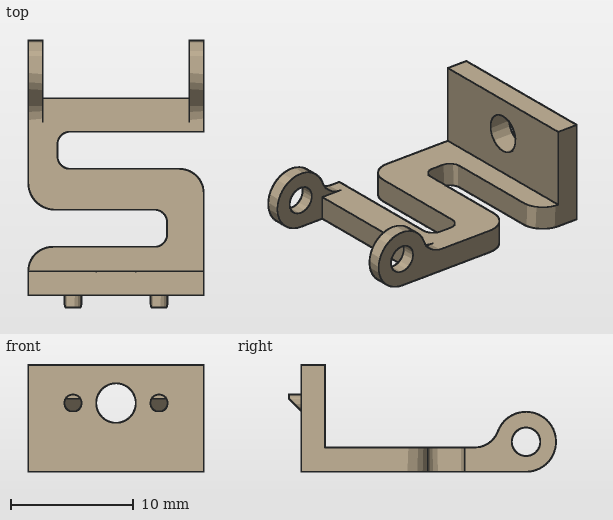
import cadquery as cq
import math

width = 14.3
half_width = width / 2

plate_thickness = 1.95
plate_height = 8.7
screw_hole_diameter = 3.2
screw_hole_height = 5.6

pin_diameter = 1.4
pin_length = 1.0
pin_spacing = 7.0
pin_tip_thickness = 0.35
pin_slope_drop = 1.0

spring_thickness = 2.0
front_bar_width = 2.0
middle_bar_width = 3.35
rear_bar_width = 2.75
slot_width = 3.0
left_web_width = 2.4
right_web_width = 3.0
slot_corner_radius = 1.0
bend_radius = 2.0
left_middle_bend_radius = 2.2

lug_thickness = 1.2
lug_radius = 2.45
lug_hole_diameter = 2.3
lug_overall_reach = 20.75
lug_blend_radius = 2.0

front_slot_start = plate_thickness + front_bar_width
front_slot_end = front_slot_start + slot_width
rear_slot_start = front_slot_end + middle_bar_width
rear_slot_end = rear_slot_start + slot_width
spring_end = rear_slot_end + rear_bar_width
lug_center_y = lug_overall_reach - lug_radius


def make_plate():
    """Upright plate with its central screw hole."""
    plate = cq.Workplane("XY").box(width, plate_thickness, plate_height, centered=(True, False, False))
    hole = (
        cq.Workplane("XZ")
        .center(0, screw_hole_height)
        .circle(screw_hole_diameter / 2)
        .extrude(-plate_thickness)
    )
    return plate.cut(hole)


def make_spring():
    """Flat S-shaped spring with rounded bends and slot ends."""
    left_slot_end = -half_width + left_web_width
    right_slot_end = half_width - right_web_width
    outline = [
        (-half_width, 0),
        (-half_width, front_slot_start),
        (right_slot_end, front_slot_start),
        (right_slot_end, front_slot_end),
        (-half_width, front_slot_end),
        (-half_width, spring_end),
        (half_width, spring_end),
        (half_width, rear_slot_end),
        (left_slot_end, rear_slot_end),
        (left_slot_end, rear_slot_start),
        (half_width, rear_slot_start),
        (half_width, 0),
    ]
    slot_corners = [
        (right_slot_end, front_slot_start),
        (right_slot_end, front_slot_end),
        (left_slot_end, rear_slot_start),
        (left_slot_end, rear_slot_end),
    ]
    bends = [
        (-half_width, front_slot_start),
        (half_width, rear_slot_start),
    ]
    left_middle_bend = [(-half_width, front_slot_end)]
    spring = cq.Workplane("XY").polyline(outline).close().extrude(spring_thickness)
    spring = round_corners(spring, slot_corners, slot_corner_radius)
    spring = round_corners(spring, bends, bend_radius)
    return round_corners(spring, left_middle_bend, left_middle_bend_radius)


def round_corners(body, corners, radius):
    """Fillet the vertical edges of the spring that stand at the given XY corners."""
    edges = cq.Workplane("XY")
    for x, y in corners:
        nearest = cq.selectors.NearestToPointSelector((x, y, spring_thickness / 2))
        edges = edges.add(body.edges("|Z").edges(nearest).vals())
    solid = body.val().fillet(radius, edges.vals())
    return cq.Workplane("XY").newObject([solid])


def make_lug(x_start):
    """Hinge eye whose round top runs through a concave blend onto the spring."""
    blend_center_z = spring_thickness + lug_blend_radius
    center_distance = lug_radius + lug_blend_radius
    rise = blend_center_z - lug_radius
    blend_end_y = lug_center_y - math.sqrt(center_distance**2 - rise**2)
    contact_angle = math.asin(rise / center_distance)
    contact = (
        lug_center_y - lug_radius * math.cos(contact_angle),
        lug_radius + lug_radius * math.sin(contact_angle),
    )
    mid_angle = (math.pi / 2 + contact_angle) / 2
    blend_mid = (
        blend_end_y + lug_blend_radius * math.cos(mid_angle),
        blend_center_z - lug_blend_radius * math.sin(mid_angle),
    )
    return (
        cq.Workplane("YZ", origin=(x_start, 0, 0))
        .moveTo(blend_end_y, 0)
        .lineTo(lug_center_y, 0)
        .threePointArc((lug_overall_reach, lug_radius), contact)
        .threePointArc(blend_mid, (blend_end_y, spring_thickness))
        .close()
        .moveTo(lug_center_y, lug_radius)
        .circle(lug_hole_diameter / 2)
        .extrude(lug_thickness)
    )


def make_pin(x):
    """Round pin in front of the plate with a sloping underside."""
    pin_radius = pin_diameter / 2
    pin_top = screw_hole_height + pin_radius
    slope_tip_z = pin_top - pin_tip_thickness
    slope_root_z = slope_tip_z - pin_slope_drop
    pin = cq.Workplane("XZ").center(x, screw_hole_height).circle(pin_radius).extrude(pin_length)
    side_profile = (
        cq.Workplane("YZ", origin=(x, 0, 0))
        .polyline([(0, slope_root_z), (0, pin_top), (-pin_length, pin_top), (-pin_length, slope_tip_z)])
        .close()
        .extrude(pin_radius, both=True)
    )
    return pin.intersect(side_profile)


result = make_plate().union(make_spring())
for lug_x in (-half_width, half_width - lug_thickness):
    result = result.union(make_lug(lug_x))
for pin_x in (-pin_spacing / 2, pin_spacing / 2):
    result = result.union(make_pin(pin_x))